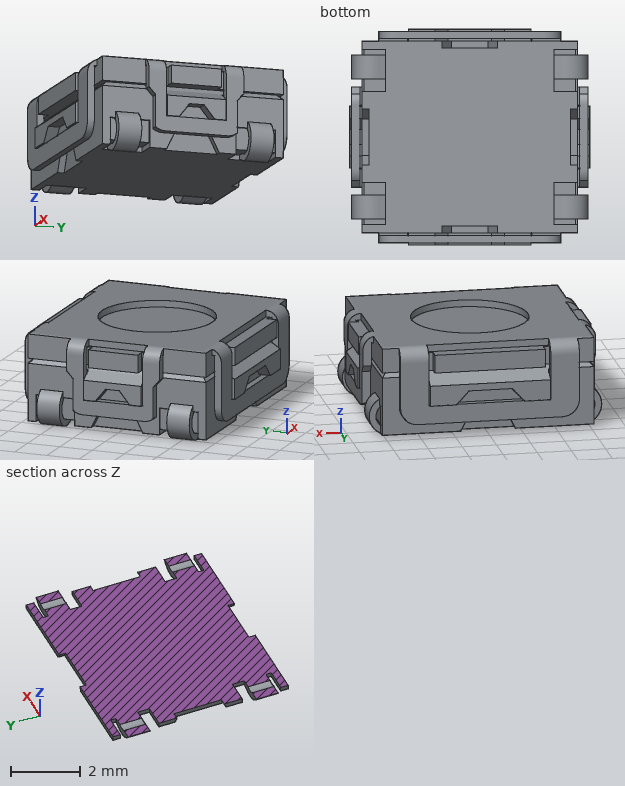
import cadquery as cq

length = 6.9
width = 6.2

cover_top = 2.6
cover_bottom = 1.87
housing_edge_z = 1.72
tab_top = 2.4
window_floor = 0.9
wedge_edge_z = 1.5
wedge_notch_top = 1.3

body_x = 3.1
body_y = 2.75
bracket_x = 3.4
bracket_y = 3.035
wedge_reach_x = length / 2
wedge_reach_y = width / 2

long_sheet = 0.21
short_sheet = 0.25
bend_radius = 0.4
bracket_corner_diameter = 1.0
bracket_corner_radius = bracket_corner_diameter / 2
button_diameter = 3.4
button_depth = 0.2

long_bracket = 2.615
long_window = 1.78
long_wedge = 1.76
long_tab = 1.615
long_tab_reach = 3.05
long_bracket_bottom = 0.35
long_notch_back = 2.65
long_wedge_notch_base = 1.0
long_wedge_notch_tip = 0.62

short_bracket = 1.44
short_bracket_waist = 1.24
short_window = 0.91
short_wedge = 0.89
short_tab = 0.765
short_tab_reach = bracket_x
short_bracket_bottom = 0.45
short_notch_back = bracket_x - bend_radius
short_wedge_notch_base = 0.54
short_wedge_notch_tip = 0.215
shoulder_top = housing_edge_z
shoulder_bottom = wedge_edge_z

relief_half_base = 0.8
relief_half_top = 0.525
relief_height = 0.55
relief_depth = 0.2

curl_radius = 0.57
curl_sheet = 0.2
curl_x = bracket_x - curl_radius
curl_drop = 0.1
curl_z = curl_radius - curl_drop
tail_angle = 20.0
tail_length = 0.275
curl_inner_y = 1.66
curl_outer_y = 2.36

pocket_inner_y = 1.31
pocket_outer_y = 2.51
pocket_top = 0.8
pocket_depth = 0.06
tail_channel_top = 0.15
tail_channel_depth = 0.68


def block(x0, x1, y0, y1, z0, z1):
    """Box given by its limits along each axis."""
    return cq.Workplane("XY").box(x1 - x0, y1 - y0, z1 - z0, centered=False).translate((x0, y0, z0))


def rounded_lid(half_x, half_y, top, radius):
    """Block standing on z = 0 with its top edges rounded."""
    return block(-half_x, half_x, -half_y, half_y, 0, top).faces(">Z").edges().fillet(radius)


def formed_sheet(thickness):
    """Open-bottomed shell with bends outside, square corners inside and walls of the given thickness."""
    outside = rounded_lid(bracket_x, bracket_y, cover_top, bend_radius)
    inside_x = bracket_x - thickness
    inside_y = bracket_y - thickness
    return outside.cut(block(-inside_x, inside_x, -inside_y, inside_y, 0, tab_top))


def trapezoid(half_base, half_top, z0, z1, near, far):
    """Upright trapezoid facing -Y, reaching from y = -near out to y = -far."""
    outline = [(-half_base, z0), (half_base, z0), (half_top, z1), (-half_top, z1)]
    return cq.Workplane("XZ", origin=(0, -near, 0)).polyline(outline).close().extrude(far - near)


def on_long_sides(shape):
    """A shape made for the -Y side, together with its copy on the +Y side."""
    return shape.union(shape.rotate((0, 0, 0), (0, 0, 1), 180))


def on_short_sides(shape):
    """A shape made for the -Y side, turned onto the -X and +X sides."""
    return on_long_sides(shape).rotate((0, 0, 0), (0, 0, 1), -90)


def bracket_outline(half_width, half_window, bottom, near, far):
    """U-shaped solid facing -Y that the bracket is cut to: two legs joined at the foot."""
    plate = block(-half_width, half_width, -far, -near, bottom, cover_top)
    plate = plate.edges("|Y and <Z").fillet(bracket_corner_radius)
    window = block(-half_window, half_window, -far, -near, window_floor, cover_top)
    return plate.cut(window)


def wedge(half_width, body_half, reach, notch_base, notch_tip):
    """Catch with a sloping top and a trapezoidal notch in its foot, facing -Y."""
    profile = [
        (0, window_floor),
        (-reach, window_floor),
        (-reach, wedge_edge_z),
        (-body_half, housing_edge_z),
        (0, housing_edge_z),
    ]
    catch = cq.Workplane("YZ").polyline(profile).close().extrude(half_width, both=True)
    return catch.cut(trapezoid(notch_base, notch_tip, window_floor, wedge_notch_top, body_half, reach))


def tab(half_width, reach):
    """Straight bar standing out of the cover wall, facing -Y."""
    return block(-half_width, half_width, -reach, 0, cover_bottom, tab_top)


def relief(body_half):
    """Trapezoidal cut at the foot of the housing side facing -Y."""
    back = body_half - relief_depth
    return trapezoid(relief_half_base, relief_half_top, 0, relief_height, back, body_half)


def rim_notch(half_width, back, far):
    """Cut in the cover rim between the two legs of a bracket, facing -Y."""
    return block(-half_width, half_width, -far, -back, tab_top, cover_top)


def short_bracket_outline():
    """U outline of a short side, narrowed below a tapered shoulder on both legs."""
    outline = bracket_outline(
        short_bracket, short_window, short_bracket_bottom, short_notch_back, bracket_x)
    side_cut = [
        (short_bracket, 0),
        (short_bracket, shoulder_top),
        (short_bracket_waist, shoulder_bottom),
        (short_bracket_waist, 0),
    ]
    cutter = cq.Workplane("XZ").polyline(side_cut).close().extrude(bracket_x)
    return outline.cut(cutter).cut(cutter.mirror("YZ"))


def terminal_pocket():
    """Pocket for one terminal, with a deeper channel at its foot for the tail."""
    back_x = -body_x + pocket_depth
    pocket = block(-body_x, back_x, -pocket_outer_y, -pocket_inner_y, 0, pocket_top)
    channel_x = -body_x + tail_channel_depth
    channel = block(-body_x, channel_x, -pocket_outer_y, -pocket_inner_y, 0, tail_channel_top)
    return pocket.union(channel)


def terminal():
    """One curled terminal: a ring of sheet with a straight tail rising into the housing."""
    strip_width = curl_outer_y - curl_inner_y
    plane = cq.Workplane("XZ", origin=(-curl_x, -curl_inner_y, curl_z))
    ring = plane.circle(curl_radius).circle(curl_radius - curl_sheet).extrude(strip_width)
    tail = (
        plane.rect(tail_length, curl_sheet)
        .extrude(strip_width)
        .translate((tail_length / 2, 0, curl_sheet / 2 - curl_radius))
        .rotate((-curl_x, 0, curl_z), (-curl_x, 1, curl_z), -tail_angle)
    )
    return ring.union(tail)


def at_four_corners(shape):
    """A shape made for the (-X, -Y) corner, mirrored to all four corners."""
    pair = shape.union(shape.mirror("XZ"))
    return pair.union(pair.mirror("YZ"))


housing = block(-body_x, body_x, -body_y, body_y, 0, cover_bottom)
housing = housing.faces(">Z").chamfer(cover_bottom - housing_edge_z)
housing = housing.cut(on_long_sides(relief(body_y))).cut(on_short_sides(relief(body_x)))
housing = housing.cut(at_four_corners(terminal_pocket()))

rim_form = rounded_lid(bracket_x, bracket_y, cover_top, bend_radius)
cover = rim_form.intersect(block(-body_x, body_x, -body_y, body_y, cover_bottom, cover_top))
cover = cover.cut(on_long_sides(rim_notch(long_window, long_notch_back, bracket_y)))
cover = cover.cut(on_short_sides(rim_notch(short_window, short_notch_back, bracket_x)))
button_recess = cq.Workplane("XY").circle(button_diameter / 2).extrude(button_depth)
cover = cover.cut(button_recess.translate((0, 0, cover_top - button_depth)))

long_outline = bracket_outline(
    long_bracket, long_window, long_bracket_bottom, bracket_y - bend_radius, bracket_y)
long_brackets = formed_sheet(long_sheet).intersect(on_long_sides(long_outline))
short_brackets = formed_sheet(short_sheet).intersect(on_short_sides(short_bracket_outline()))

long_wedges = on_long_sides(
    wedge(long_wedge, body_y, wedge_reach_y, long_wedge_notch_base, long_wedge_notch_tip))
short_wedges = on_short_sides(
    wedge(short_wedge, body_x, wedge_reach_x, short_wedge_notch_base, short_wedge_notch_tip))
long_tabs = on_long_sides(tab(long_tab, long_tab_reach))
short_tabs = on_short_sides(tab(short_tab, short_tab_reach))

result = housing.union(cover).union(long_brackets).union(short_brackets)
result = result.union(long_wedges).union(short_wedges)
result = result.union(long_tabs).union(short_tabs)
result = result.union(at_four_corners(terminal()))